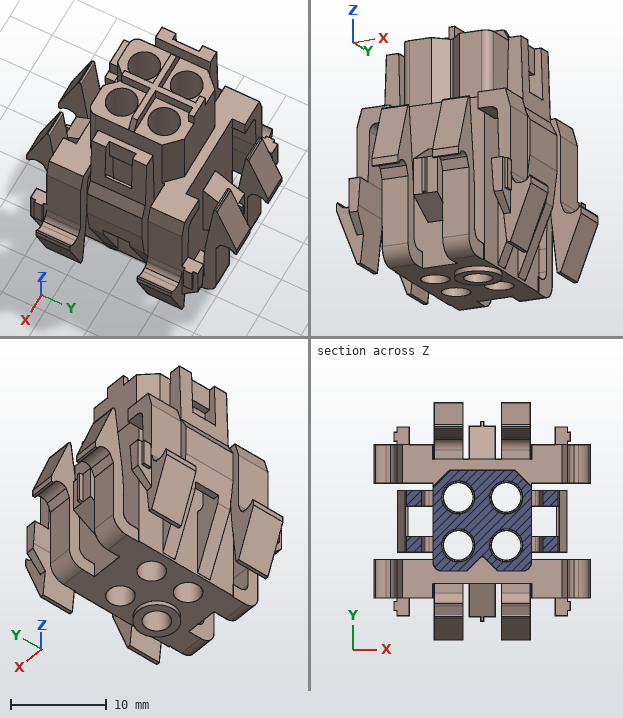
import cadquery as cq

HALF_WIDTH = 5.15
HALF_DEPTH = 6.5
FLOOR_Z = 0.55
DECK_Z = 18.45
TOWER_Z = 26.12
TOP_Z = 27.5

CONTACT_PITCH = 5.0
HOLE_RADIUS = 1.55
MOUTH_RADIUS = 1.7
MOUTH_DEPTH = TOWER_Z - DECK_Z

TOWER_BACK_Y = 5.35
TOWER_FRONT_Y = -5.2
TOWER_BACK_CHAMFER = 1.73
TOWER_FRONT_ROUND = 0.95
KEY_HALF_WIDTH = 1.62
KEY_FLAT = 0.15

RIB_WIDTH = 0.65
RIB_END_TAPER = 0.77
RIB_FRONT_Y = -3.68
RIB_HEAD_LENGTH = 2.55
RIB_HEAD_WIDTH = 0.65

ARM_NEAR_Y = 3.95
ARM_FAR_Y = 8.0
ARM_FACE_X = 8.9
ARM_BRIDGE_Z = 16.66
HOOK_TIP_X = 11.3
HOOK_POINT_Z = 1.6

PAD_FAR_Y = 9.87
PAD_TOP_Z = 10.37
PAD_EDGE_Z = 6.68
PAD_ROOT_Z = 4.73
NUB_HEIGHT = 0.3
NUB_NEAR_Y = 8.35
NUB_FAR_Y = 9.32
NUB_BOTTOM_Z = 7.1

LEVER_HALF_WIDTH = 3.25
SLOT_HALF_WIDTH = 1.57
LEVER_FACE_X = 8.85
LEVER_TOP_Z = 25.58
LEVER_ROOT_Z = 9.6
LEVER_ROOT_ROUND = 0.4
LEVER_GAP_X = 5.97
NOTCH_BOTTOM_Z = 19.85
WINDOW_TOP_Z = 22.75
NOTCH_BACK_X = 7.05
GROOVE_X = 7.73

BARB_NEAR_X = 2.0
BARB_FAR_X = 5.03
SPRING_FACE_Y = 9.95
SPRING_THICKNESS = 1.4
SPRING_FLOOR_THICKNESS = 1.8
SPRING_BEND = 1.85
SPRING_INNER_BEND = 1.1
BARB_TIP_Y = 12.4
SPRING_TIP_Z = 17.52

WEDGE_WIDTH = 2.75
WEDGE_TOP_Z = 13.5
WEDGE_UPPER_Z = 11.5
WEDGE_LOWER_Z = 7.54
WEDGE_BOTTOM_Z = 5.5
KEEL_WIDTH = 0.33
KEEL_Y = 10.45
KEEL_TOP_Z = 11.33
KEEL_BOTTOM_Z = 7.65


def box(x0, x1, y0, y1, z0, z1):
    """Box between opposite corner coordinates."""
    return cq.Workplane("XY").box(x1 - x0, y1 - y0, z1 - z0, centered=False).translate((x0, y0, z0))


def extrude_along_y(profile, y0, y1):
    """Extrude an (x, z) profile drawn on an XZ plane from y0 to y1."""
    return profile.extrude(y0 - y1).translate((0, y0, 0))


def extrude_along_x(profile, x0, x1):
    """Extrude a (y, z) profile drawn on a YZ plane from x0 to x1."""
    return profile.extrude(x1 - x0).translate((x0, 0, 0))


def on_both_x(shape):
    return shape.union(shape.mirror("YZ"))


def on_both_y(shape):
    return shape.union(shape.mirror("XZ"))


def make_tower():
    key_y = TOWER_FRONT_Y + KEY_HALF_WIDTH - KEY_FLAT
    tower = (
        cq.Workplane("XY").workplane(offset=DECK_Z)
        .moveTo(-HALF_WIDTH, TOWER_FRONT_Y)
        .lineTo(-KEY_HALF_WIDTH, TOWER_FRONT_Y)
        .lineTo(-KEY_FLAT, key_y)
        .lineTo(KEY_FLAT, key_y)
        .lineTo(KEY_HALF_WIDTH, TOWER_FRONT_Y)
        .lineTo(HALF_WIDTH, TOWER_FRONT_Y)
        .lineTo(HALF_WIDTH, TOWER_BACK_Y)
        .lineTo(-HALF_WIDTH, TOWER_BACK_Y)
        .close().extrude(TOWER_Z - DECK_Z)
    )
    tower = tower.edges("|Z and >Y").chamfer(TOWER_BACK_CHAMFER)
    return tower.edges("|Z and <Y and (<X or >X)").fillet(TOWER_FRONT_ROUND)


def make_cross():
    half_rib = RIB_WIDTH / 2
    cross_side = cq.Workplane("XZ").polyline([
        (-HALF_WIDTH, TOWER_Z),
        (HALF_WIDTH, TOWER_Z),
        (HALF_WIDTH - RIB_END_TAPER, TOP_Z),
        (RIB_END_TAPER - HALF_WIDTH, TOP_Z),
    ]).close()
    cross_rib = extrude_along_y(cross_side, -half_rib, half_rib)
    long_rib = box(-half_rib, half_rib, RIB_FRONT_Y, TOWER_BACK_Y, TOWER_Z, TOP_Z)
    half_head = RIB_HEAD_LENGTH / 2
    head = box(-half_head, half_head, TOWER_BACK_Y - RIB_HEAD_WIDTH, TOWER_BACK_Y, TOWER_Z, TOP_Z)
    return cross_rib.union(long_rib).union(head)


def make_contact_boss():
    radius = CONTACT_PITCH / 2
    return cq.Workplane("XY").center(radius, -radius).circle(radius).extrude(FLOOR_Z)


def cut_contact_holes(body):
    pattern = cq.Workplane("XY").rect(CONTACT_PITCH, CONTACT_PITCH, forConstruction=True).vertices()
    bores = pattern.circle(HOLE_RADIUS).extrude(TOP_Z)
    mouths = pattern.circle(MOUTH_RADIUS).extrude(TOP_Z).intersect(
        box(-HALF_WIDTH, HALF_WIDTH, -HALF_DEPTH, HALF_DEPTH, TOWER_Z - MOUTH_DEPTH, TOP_Z)
    )
    return body.cut(bores).cut(mouths)


def hook_profile():
    """Right-hand (+X) arm: out from the deck, down, and ending in a pointed hook."""
    return (
        cq.Workplane("XZ")
        .moveTo(HALF_WIDTH, DECK_Z)
        .lineTo(8.33, DECK_Z)
        .lineTo(ARM_FACE_X, 16.45)
        .lineTo(ARM_FACE_X, 9.3)
        .lineTo(9.13, 8.58)
        .tangentArcPoint((9.57, 7.98), relative=False)
        .lineTo(10.05, 7.9)
        .threePointArc((10.67, 8.05), (11.16, 8.58))
        .lineTo(HOOK_TIP_X, 8.4)
        .lineTo(HOOK_TIP_X, 7.7)
        .lineTo(ARM_FACE_X, HOOK_POINT_Z)
        .lineTo(8.5, HOOK_POINT_Z)
        .lineTo(7.85, 7.35)
        .lineTo(7.62, PAD_TOP_Z)
        .lineTo(7.42, 15.85)
        .threePointArc((7.18, 16.42), (6.6, ARM_BRIDGE_Z))
        .lineTo(HALF_WIDTH, ARM_BRIDGE_Z)
        .close()
    )


def make_hook_arm():
    """Hook arm at +X +Y with its guide pad and the strip on the pad."""
    arm = extrude_along_y(hook_profile(), ARM_NEAR_Y, ARM_FAR_Y)
    column = extrude_along_y(hook_profile(), ARM_FAR_Y, PAD_FAR_Y)
    pad_side = (
        cq.Workplane("YZ")
        .moveTo(ARM_FAR_Y, PAD_TOP_Z)
        .lineTo(PAD_FAR_Y, PAD_TOP_Z)
        .lineTo(PAD_FAR_Y, PAD_EDGE_Z)
        .lineTo(ARM_FAR_Y, PAD_ROOT_Z)
        .close()
    )
    pad = column.intersect(extrude_along_x(pad_side, 0, ARM_FACE_X))
    nub = box(ARM_FACE_X, ARM_FACE_X + NUB_HEIGHT, NUB_NEAR_Y, NUB_FAR_Y, NUB_BOTTOM_Z, PAD_TOP_Z)
    return arm.union(pad).union(nub)


def make_lever():
    """Sprung lever at +X, hollowed from inside and slotted through its root."""
    outline = (
        cq.Workplane("XZ")
        .moveTo(HALF_WIDTH, 0.9)
        .lineTo(8.35, 8.58)
        .lineTo(LEVER_FACE_X, 12.4)
        .lineTo(LEVER_FACE_X, 16.3)
        .lineTo(8.08, 17.82)
        .lineTo(7.8, LEVER_TOP_Z)
        .lineTo(6.38, LEVER_TOP_Z)
        .lineTo(LEVER_GAP_X, LEVER_ROOT_Z + LEVER_ROOT_ROUND)
        .radiusArc((LEVER_GAP_X - LEVER_ROOT_ROUND, LEVER_ROOT_Z), LEVER_ROOT_ROUND)
        .lineTo(HALF_WIDTH, LEVER_ROOT_Z)
        .close()
    )
    lever = extrude_along_y(outline, -LEVER_HALF_WIDTH, LEVER_HALF_WIDTH)
    outside = 2 * HALF_WIDTH
    slot = SLOT_HALF_WIDTH
    notch = box(NOTCH_BACK_X, outside, -slot, slot, NOTCH_BOTTOM_Z, TOP_Z)
    groove = box(HALF_WIDTH, GROOVE_X, -slot, slot, 0, WINDOW_TOP_Z)
    root_slot = box(HALF_WIDTH, outside, -slot, slot, 0, LEVER_ROOT_Z)
    return lever.cut(notch).cut(groove).cut(root_slot)


def make_barb():
    """J-shaped spring at +X +Y that rises from the floor to a pointed barb."""
    inner_y = SPRING_FACE_Y - SPRING_THICKNESS
    inner_z = FLOOR_Z + SPRING_FLOOR_THICKNESS
    bend_y = SPRING_FACE_Y - SPRING_BEND
    bend_z = FLOOR_Z + SPRING_BEND
    outline = (
        cq.Workplane("YZ")
        .moveTo(HALF_DEPTH, FLOOR_Z)
        .lineTo(bend_y, FLOOR_Z)
        .radiusArc((SPRING_FACE_Y, bend_z), -SPRING_BEND)
        .lineTo(SPRING_FACE_Y, 9.7)
        .lineTo(10.4, 10.75)
        .threePointArc((11.16, 11.1), (12.1, 10.53))
        .lineTo(BARB_TIP_Y, 10.53)
        .lineTo(BARB_TIP_Y, 11.33)
        .lineTo(10.1, 17.38)
        .lineTo(9.93, SPRING_TIP_Z)
        .threePointArc((9.8, 17.5), (9.7, 17.38))
        .lineTo(8.83, 10.37)
        .tangentArcPoint((inner_y, 5.97), relative=False)
        .lineTo(inner_y, inner_z + SPRING_INNER_BEND)
        .radiusArc((inner_y - SPRING_INNER_BEND, inner_z), SPRING_INNER_BEND)
        .lineTo(HALF_DEPTH, inner_z)
        .close()
    )
    return extrude_along_x(outline, BARB_NEAR_X, BARB_FAR_X)


def make_wedge():
    """Snap wedge in the middle of the +Y face, with a thin keel on its nose."""
    wedge_side = (
        cq.Workplane("YZ")
        .moveTo(HALF_DEPTH, WEDGE_TOP_Z)
        .lineTo(SPRING_FACE_Y, WEDGE_UPPER_Z)
        .lineTo(SPRING_FACE_Y, WEDGE_LOWER_Z)
        .lineTo(HALF_DEPTH, WEDGE_BOTTOM_Z)
        .close()
    )
    wedge = extrude_along_x(wedge_side, -WEDGE_WIDTH / 2, WEDGE_WIDTH / 2)
    keel_side = (
        cq.Workplane("YZ")
        .moveTo(HALF_DEPTH, WEDGE_UPPER_Z)
        .lineTo(SPRING_FACE_Y, WEDGE_UPPER_Z)
        .lineTo(KEEL_Y, KEEL_TOP_Z)
        .lineTo(KEEL_Y, KEEL_BOTTOM_Z)
        .lineTo(SPRING_FACE_Y, WEDGE_LOWER_Z)
        .lineTo(HALF_DEPTH, WEDGE_LOWER_Z)
        .close()
    )
    keel = extrude_along_x(keel_side, -KEEL_WIDTH / 2, KEEL_WIDTH / 2)
    return wedge.union(keel)


result = box(-HALF_WIDTH, HALF_WIDTH, -HALF_DEPTH, HALF_DEPTH, FLOOR_Z, DECK_Z)
result = result.union(make_tower()).union(make_cross()).union(make_contact_boss())
result = cut_contact_holes(result)
result = result.union(on_both_x(make_lever()))
result = result.union(on_both_y(on_both_x(make_hook_arm())))
result = result.union(on_both_y(on_both_x(make_barb())))
result = result.union(on_both_y(make_wedge()))